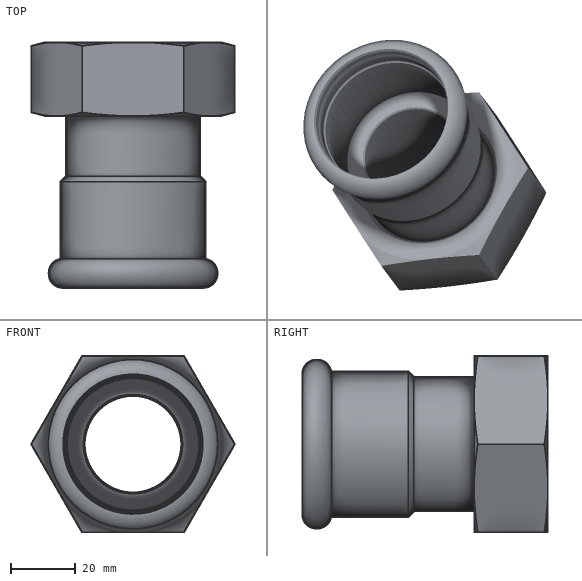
import cadquery as cq
import math

total_length = 76.6

nut_length = 23.0
nut_across_flats = 55.0
nut_chamfer_angle = 15.0
nut_corner_radius = nut_across_flats / math.sqrt(3)
nut_front = total_length - nut_length
nut_countersink_diameter = 44.1

neck_diameter = 42.0
socket_diameter = 45.4
neck_start = 34.85
shoulder_length = (socket_diameter - neck_diameter) / 2
socket_end = neck_start - shoulder_length
bead_width = 9.2
bead_diameter = 52.8
bead_arc_radius = bead_width / 2
bead_arc_centre = bead_diameter / 2 - bead_arc_radius

mouth_diameter = 42.7
mouth_chamfer_length = 0.8
seal_ridge_start = 3.0
seal_ridge_end = 6.05
seal_ridge_diameter = 42.0
guide_diameter = 42.4
guide_end = 8.1
seat_cone_length = 0.45
pipe_seat_diameter = 41.15
bore_diameter = 30.0
bore_chamfer = 0.45


def revolve_about_y(profile):
    """Turn a closed (radius, Y) profile round the Y axis."""
    return profile.close().revolve(360, (0, 0, 0), (0, 1, 0))


def make_socket():
    """Socket body with a rolled bead, a rounded seal ridge and a through bore."""
    profile = (
        cq.Workplane("XY")
        .moveTo(bead_arc_centre, 0)
        .threePointArc((bead_diameter / 2, bead_width / 2), (bead_arc_centre, bead_width))
        .lineTo(socket_diameter / 2, bead_width)
        .lineTo(socket_diameter / 2, socket_end)
        .lineTo(neck_diameter / 2, neck_start)
        .lineTo(neck_diameter / 2, total_length)
        .lineTo(bore_diameter / 2, total_length)
        .lineTo(bore_diameter / 2, socket_end + bore_chamfer)
        .lineTo(bore_diameter / 2 + bore_chamfer, socket_end)
        .lineTo(pipe_seat_diameter / 2, socket_end)
        .lineTo(pipe_seat_diameter / 2, guide_end + seat_cone_length)
        .lineTo(guide_diameter / 2, guide_end)
        .lineTo(guide_diameter / 2, seal_ridge_end)
        .threePointArc(
            (seal_ridge_diameter / 2, (seal_ridge_start + seal_ridge_end) / 2),
            (mouth_diameter / 2, seal_ridge_start),
        )
        .lineTo(mouth_diameter / 2, mouth_chamfer_length)
    )
    return revolve_about_y(profile)


def make_nut():
    """Hexagon nut with chamfered corners, bored to fit the neck."""
    hexagon = (
        cq.Workplane("XZ", origin=(0, nut_front, 0))
        .polygon(6, 2 * nut_corner_radius)
        .extrude(-nut_length)
    )
    flat_radius = nut_across_flats / 2
    corner_drop = (nut_corner_radius - flat_radius) * math.tan(math.radians(nut_chamfer_angle))
    countersink_depth = (nut_countersink_diameter - neck_diameter) / 2
    turned_blank = revolve_about_y(
        cq.Workplane("XY")
        .moveTo(neck_diameter / 2, nut_front + countersink_depth)
        .lineTo(nut_countersink_diameter / 2, nut_front)
        .lineTo(flat_radius, nut_front)
        .lineTo(nut_corner_radius, nut_front + corner_drop)
        .lineTo(nut_corner_radius, total_length - corner_drop)
        .lineTo(flat_radius, total_length)
        .lineTo(neck_diameter / 2, total_length)
    )
    return hexagon.intersect(turned_blank)


socket = make_socket()
nut = make_nut()

result = cq.Compound.makeCompound([socket.val(), nut.val()])